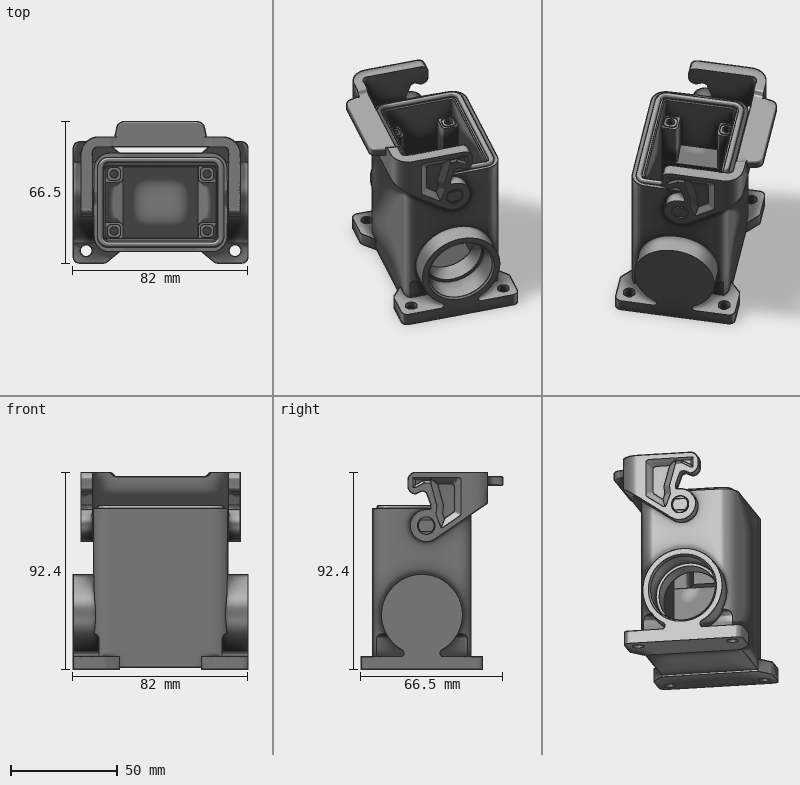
import cadquery as cq
import math

body_half_x = 31.5
body_half_y = 23.1
body_corner_radius = 7.0
side_bow = 0.4
body_bottom = 0.9
rim_height = 75.4
bead_height = 1.5
bead_half_x = 29.7
bead_half_y = 21.2
bead_width = 2.7
bead_corner_radius = 5.4
bead_round = 1.3

cavity_half_x = 26.1
cavity_half_y = 17.0
mouth_chamfer = 0.6
mouth_depth = 0.7
cavity_corner_radius = 1.8
cavity_floor = 5.0
draft_start = 65.7
cavity_draft = 0.3
ramp_inner_x = 17.6
ramp_bottom = 42.0
ramp_angle = 26.0

post_x = 21.8
post_y = 13.35
post_inner_x = 17.7
post_inner_y = 9.4
post_corner_radius = 1.8
post_height = 64.6
post_pad_width = 6.2
post_pad_corner_radius = 2.0
post_pad_height = 0.4
screw_hole_radius = 1.9
screw_hole_depth = 12.0

foot_half_x = 41.0
foot_half_y = 28.5
foot_height = 6.0
foot_inner_x = 19.2
foot_slant_x = 25.8
foot_corner_radius = 3.0
foot_slant_radius = 2.5
foot_hole_x = 34.9
foot_hole_y = 22.6
foot_hole_radius = 2.75

collar_height = 25.6
collar_radius = 19.0
bore_chamfer_radius = 16.35
bore_radius = 15.5
bore_chamfer_depth = 0.9
bore_end_x = 27.8
inner_bore_radius = 14.1
web_notch_radius = 1.6
recess_x = 28.8
recess_top = 17.0
recess_round = 3.2

lever_top = 92.4
lever_back = 30.8
lever_half_x = 37.4
lever_inner_x = 31.95
lever_inner_y = 26.1
lever_outer_radius = 8.5
lever_inner_radius = 2.6
lever_back_bottom = 78.0
hinge_y = 2.0
hinge_z = 67.4
hinge_radius = 7.5
hinge_recess_radius = 4.1
hinge_recess_depth = 0.8
pin_radius = 3.7
pin_half_flat = 2.7
handle_end = 38.0
handle_top = 90.4
handle_bottom = 86.2
handle_root_half_x = 21.5
handle_end_half_x = 20.0
handle_corner_radius = 3.8
handle_edge = 0.9
notch_top_half_x = 23.9
notch_bottom_half_x = 21.8
notch_back_narrowing = 0.7
notch_round = 1.5
pocket_top = 90.0
pocket_back = 18.4
pocket_back_bottom = 72.4
pocket_depth = 1.9
hook_pocket_depth = 0.7
pocket_wall_angle = 58.0
pocket_corner_radius = 3.5

SIDES = (-1, 1)


def block(x0, x1, y0, y1, z0, z1):
    """Axis-aligned box between two corners."""
    return cq.Workplane("XY").box(x1 - x0, y1 - y0, z1 - z0, centered=False).translate((x0, y0, z0))


def x_cylinder(radius, x0, x1, y=0.0, z=collar_height):
    """Cylinder along X."""
    return cq.Workplane("YZ", origin=(x0, y, z)).circle(radius).extrude(x1 - x0)


def rounded_block(half_x, half_y, radius, z0, z1):
    """Upright prism centred on Z with rounded vertical edges."""
    return block(-half_x, half_x, -half_y, half_y, z0, z1).edges("|Z").fillet(radius)


def make_shell():
    """Outer body: a rectangle with large corners and end walls bowed out to a middle line."""
    flat_x = body_half_x - side_bow
    arc_x = flat_x - body_corner_radius
    arc_y = body_half_y - body_corner_radius
    diagonal = body_corner_radius * math.sqrt(0.5)
    outline = cq.Workplane("XY", origin=(0, 0, body_bottom)).moveTo(body_half_x, 0)
    outline = outline.lineTo(flat_x, arc_y)
    outline = outline.threePointArc((arc_x + diagonal, arc_y + diagonal), (arc_x, body_half_y))
    outline = outline.lineTo(-arc_x, body_half_y)
    outline = outline.threePointArc((-arc_x - diagonal, arc_y + diagonal), (-flat_x, arc_y))
    outline = outline.lineTo(-body_half_x, 0)
    outline = outline.lineTo(-flat_x, -arc_y)
    outline = outline.threePointArc((-arc_x - diagonal, -arc_y - diagonal), (-arc_x, -body_half_y))
    outline = outline.lineTo(arc_x, -body_half_y)
    outline = outline.threePointArc((arc_x + diagonal, -arc_y - diagonal), (flat_x, -arc_y))
    return outline.close().extrude(rim_height - body_bottom)


def make_bead():
    """Rounded sealing bead standing on the rim."""
    top = rim_height + bead_height
    outer = rounded_block(bead_half_x, bead_half_y, bead_corner_radius, rim_height, top)
    inner = rounded_block(
        bead_half_x - bead_width,
        bead_half_y - bead_width,
        bead_corner_radius - bead_width,
        rim_height,
        top,
    )
    return outer.cut(inner).faces(">Z").edges().fillet(bead_round)


def make_cavity():
    """Inside space: straight near the rim, drafted below, narrowed in X by two ramps."""
    upper = rounded_block(cavity_half_x, cavity_half_y, cavity_corner_radius, draft_start, rim_height)
    lower = upper.faces("<Z").wires().toPending().workplane(origin=(0, 0, draft_start))
    lower = lower.extrude(draft_start - cavity_floor, combine=False, taper=cavity_draft)
    ramp_rise = (cavity_half_x - ramp_inner_x) * math.tan(math.radians(ramp_angle))
    for side in SIDES:
        ramp = (
            cq.Workplane("XZ", origin=(0, body_half_y, 0))
            .moveTo(side * ramp_inner_x, 0)
            .lineTo(side * ramp_inner_x, ramp_bottom)
            .lineTo(side * cavity_half_x, ramp_bottom + ramp_rise)
            .lineTo(side * cavity_half_x, 0)
            .close()
            .extrude(2 * body_half_y)
        )
        lower = lower.cut(ramp)
    mouth = rounded_block(
        cavity_half_x + mouth_chamfer,
        cavity_half_y + mouth_chamfer,
        cavity_corner_radius + mouth_chamfer,
        rim_height - mouth_depth,
        rim_height,
    )
    mouth = mouth.faces("<Z").edges().chamfer(mouth_chamfer)
    return upper.union(lower).union(mouth)


def make_post(side_x, side_y):
    """Square screw post in a cavity corner, with a rounded pad on top and a blind hole."""
    center_x = side_x * post_x
    center_y = side_y * post_y
    x0, x1 = sorted((side_x * post_inner_x, side_x * cavity_half_x))
    y0, y1 = sorted((side_y * post_inner_y, side_y * cavity_half_y))
    post = block(x0, x1, y0, y1, cavity_floor, post_height)
    free_edge = cq.NearestToPointSelector((side_x * post_inner_x, side_y * post_inner_y, post_height / 2))
    post = post.edges(free_edge).fillet(post_corner_radius)
    pad_top = post_height + post_pad_height
    pad_half = post_pad_width / 2
    pad = rounded_block(pad_half, pad_half, post_pad_corner_radius, post_height, pad_top)
    pad = pad.translate((center_x, center_y, 0))
    hole = cq.Workplane("XY", origin=(center_x, center_y, pad_top))
    hole = hole.circle(screw_hole_radius).extrude(-screw_hole_depth)
    return post.union(pad).cut(hole)


def make_foot(side):
    """Mounting foot under one end of the body, with two screw holes."""
    outline = [
        (foot_inner_x, body_half_y),
        (foot_slant_x, foot_half_y),
        (foot_half_x, foot_half_y),
        (foot_half_x, -foot_half_y),
        (foot_slant_x, -foot_half_y),
        (foot_inner_x, -body_half_y),
    ]
    foot = cq.Workplane("XY").polyline([(side * x, y) for x, y in outline]).close().extrude(foot_height)
    outer_x = side * foot_half_x
    slant_x = side * foot_slant_x
    for end in SIDES:
        y = end * foot_half_y
        foot = foot.edges(cq.NearestToPointSelector((outer_x, y, foot_height / 2))).fillet(foot_corner_radius)
        foot = foot.edges(cq.NearestToPointSelector((slant_x, y, foot_height / 2))).fillet(foot_slant_radius)
    holes = cq.Workplane("XY").pushPoints([(side * foot_hole_x, end * foot_hole_y) for end in SIDES])
    return foot.cut(holes.circle(foot_hole_radius).extrude(foot_height))


def make_recess(side):
    """Cut that flattens the lower end wall above the foot, rounded along its top."""
    x0, x1 = sorted((side * recess_x, side * foot_half_x))
    cutter = block(x0, x1, -body_half_y, body_half_y, foot_height, recess_top)
    inner_edge = cq.NearestToPointSelector((side * recess_x, 0, recess_top))
    return cutter.edges(inner_edge).fillet(recess_round)


def make_collar(side):
    """Cable entry collar with a web down to the foot; the web meets both in round notches."""
    x0, x1 = sorted((side * cavity_half_x, side * foot_half_x))
    notch_z = foot_height + web_notch_radius
    center_distance = collar_radius + web_notch_radius
    notch_y = math.sqrt(center_distance**2 - (collar_height - notch_z) ** 2)
    web_top = collar_height - (collar_height - notch_z) * collar_radius / center_distance
    web = block(x0, x1, -notch_y, notch_y, foot_height, web_top)
    for end in SIDES:
        web = web.cut(x_cylinder(web_notch_radius, x0, x1, end * notch_y, notch_z))
    return x_cylinder(collar_radius, x0, x1).union(web)


def make_bore():
    """Stepped cable bore through the -X collar, with a chamfered mouth."""
    profile = [
        (-foot_half_x, 0),
        (-foot_half_x, bore_chamfer_radius),
        (-foot_half_x + bore_chamfer_depth, bore_radius),
        (-bore_end_x, bore_radius),
        (-bore_end_x, inner_bore_radius),
        (0, inner_bore_radius),
        (0, 0),
    ]
    bore = cq.Workplane("XY").polyline(profile).close().revolve(360, (0, 0, 0), (1, 0, 0))
    return bore.translate((0, 0, collar_height))


def make_lever_profile():
    """Side shape of the lever: hinge eye, sloped underside, back bar and front hook."""
    run = lever_back - hinge_y
    rise = lever_back_bottom - hinge_z
    slope = math.atan2(rise, run) + math.asin(hinge_radius / math.hypot(run, rise))
    tangent_point = (hinge_y + hinge_radius * math.sin(slope), hinge_z - hinge_radius * math.cos(slope))
    eye_top = hinge_z + hinge_radius
    throat_y = 4.2
    throat_radius = 0.8
    throat_top = 77.0
    nose_top = 86.0
    nose_middle = (-5.5, 83.3)
    nose_tip = (-2.9, 82.3)
    hook_inner_start = (-1.1, 83.1)
    hook_inner_middle = (0.8, 83.5)
    hook_inner_end = (2.2, 82.5)
    hook_front = -6.6
    hook_top_radius = 3.8
    hook_arc_dip = hook_top_radius * (1 - math.sqrt(0.5))
    return (
        cq.Workplane("YZ", origin=(-lever_half_x, 0, 0))
        .moveTo(lever_back, lever_back_bottom)
        .lineTo(lever_back, lever_top)
        .lineTo(hook_front + hook_top_radius, lever_top)
        .threePointArc(
            (hook_front + hook_arc_dip, lever_top - hook_arc_dip),
            (hook_front, lever_top - hook_top_radius),
        )
        .lineTo(hook_front, nose_top)
        .threePointArc(nose_middle, nose_tip)
        .lineTo(*hook_inner_start)
        .threePointArc(hook_inner_middle, hook_inner_end)
        .lineTo(throat_y, throat_top)
        .lineTo(throat_y, eye_top + throat_radius)
        .radiusArc((throat_y - throat_radius, eye_top), throat_radius)
        .lineTo(hinge_y, eye_top)
        .threePointArc((hinge_y - hinge_radius, hinge_z), tangent_point)
        .close()
        .extrude(2 * lever_half_x)
    )


def make_lever_pocket():
    """Sloped-wall pockets in the outer face of the -X arm: a main one and one in the hook."""
    main_outline = [
        (pocket_back, pocket_top),
        (3.4, pocket_top),
        (7.0, 76.7),
        (6.6, 72.6),
        (8.9, 66.6),
        (9.9, 66.6),
        (pocket_back, pocket_back_bottom),
    ]
    hook_outline = [
        (4.8, pocket_top),
        (-4.2, pocket_top),
        (-4.2, 85.2),
        (-3.1, 85.2),
        (1.1, 87.5),
        (4.8, 87.5),
    ]
    arm_face = cq.Workplane("YZ", origin=(-lever_half_x, 0, 0))
    main = arm_face.polyline(main_outline).close().extrude(pocket_depth, taper=pocket_wall_angle)
    for corner_z in (pocket_top, pocket_back_bottom):
        corner = cq.NearestToPointSelector((-lever_half_x + pocket_depth / 2, pocket_back, corner_z))
        main = main.edges(corner).fillet(pocket_corner_radius)
    hook = arm_face.polyline(hook_outline).close().extrude(hook_pocket_depth, taper=pocket_wall_angle)
    return main.union(hook)


def make_hinge_recess():
    """Shallow ring around the flatted end of the hinge pin in the -X arm."""
    x0 = -lever_half_x
    x1 = x0 + hinge_recess_depth
    ring = x_cylinder(hinge_recess_radius, x0, x1, hinge_y, hinge_z)
    flats = block(
        x0,
        x1,
        hinge_y - pin_radius,
        hinge_y + pin_radius,
        hinge_z - pin_half_flat,
        hinge_z + pin_half_flat,
    )
    return ring.cut(x_cylinder(pin_radius, x0, x1, hinge_y, hinge_z).intersect(flats))


def make_bar_notch():
    """Cut that lowers the back bar to the handle, with sloped ends narrowing to the back."""

    def outline(plane, narrowing):
        top = notch_top_half_x - narrowing
        bottom = notch_bottom_half_x - narrowing
        points = [(-top, lever_top), (-bottom, handle_top), (bottom, handle_top), (top, lever_top)]
        return plane.polyline(points).close()

    front = outline(cq.Workplane("XZ", origin=(0, lever_inner_y, 0)), 0)
    back = front.workplane(offset=lever_inner_y - lever_back)
    notch = outline(back, notch_back_narrowing).loft(ruled=True)
    middle_y = (lever_inner_y + lever_back) / 2
    for side in SIDES:
        x = side * (notch_bottom_half_x - notch_back_narrowing / 2)
        lower_edge = cq.NearestToPointSelector((x, middle_y, handle_top))
        notch = notch.edges(lower_edge).fillet(notch_round)
    return notch


def make_handle():
    """Tapered finger plate behind the back bar."""
    outline = [
        (-handle_root_half_x, lever_back),
        (-handle_end_half_x, handle_end),
        (handle_end_half_x, handle_end),
        (handle_root_half_x, lever_back),
    ]
    plate = cq.Workplane("XY", origin=(0, 0, handle_bottom)).polyline(outline).close()
    plate = plate.extrude(handle_top - handle_bottom)
    plate = plate.edges("|Z and >Y").fillet(handle_corner_radius)
    rim = plate.faces("<Z or >Z").edges().filter(lambda edge: edge.Center().y > lever_back + handle_edge)
    return rim.fillet(handle_edge)


def make_lever():
    """U-shaped locking lever hinged on both end walls."""
    outer = block(-lever_half_x, lever_half_x, -foot_half_y, lever_back, 0, lever_top)
    outer = outer.edges("|Z and >Y").fillet(lever_outer_radius)
    inner = block(-lever_inner_x, lever_inner_x, -foot_half_y, lever_inner_y, 0, lever_top)
    inner = inner.edges("|Z and >Y").fillet(lever_inner_radius)
    lever = outer.cut(inner).intersect(make_lever_profile())
    lever = lever.cut(make_bar_notch())
    for side in SIDES:
        x = side * (notch_top_half_x - notch_back_narrowing / 2)
        crest = cq.NearestToPointSelector((x, (lever_inner_y + lever_back) / 2, lever_top))
        lever = lever.edges(crest).fillet(notch_round)
    lever = lever.union(make_handle())
    for cutter in (make_lever_pocket(), make_hinge_recess()):
        lever = lever.cut(cutter).cut(cutter.mirror("YZ"))
    for side in SIDES:
        x0, x1 = sorted((side * (body_half_x - side_bow), side * lever_inner_x))
        lever = lever.union(x_cylinder(hinge_recess_radius, x0, x1, hinge_y, hinge_z))
    return lever


housing = make_shell()
for side in SIDES:
    housing = housing.cut(make_recess(side))
    housing = housing.union(make_foot(side)).union(make_collar(side))
housing = housing.cut(make_cavity())
for side_x in SIDES:
    for side_y in SIDES:
        housing = housing.union(make_post(side_x, side_y))
housing = housing.cut(make_bore()).union(make_bead())

result = housing.union(make_lever())